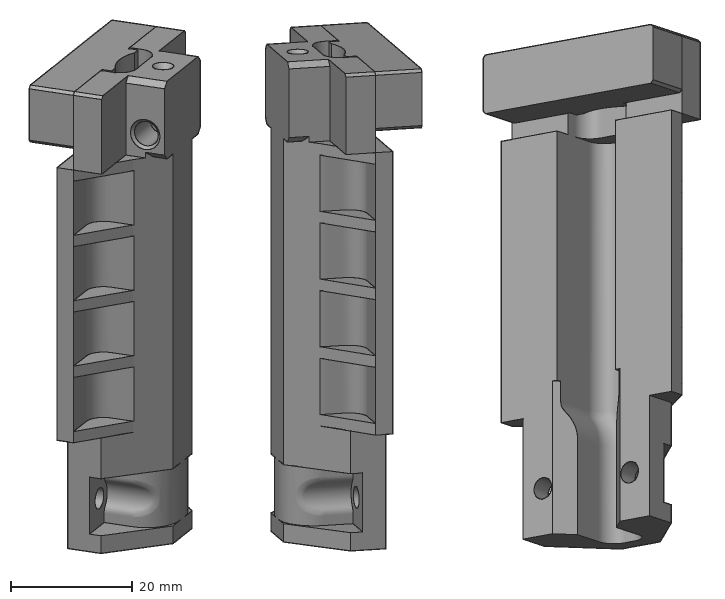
import cadquery as cq
import math


depth = 20.0
height = 82.0
half_width = 35.0 / 2
tail_top = 20.5
rail_top = 68.4

plate_front = 5.0
plate_back = 7.95
tail_half_width = 13.0
back_half_width = 4.0
slope_start = depth - (tail_half_width - back_half_width)
flank_sum = slope_start + tail_half_width

channel_floor = 17.0
corner_axis = 14.0
corner_radius = channel_floor - corner_axis
upper_floor_half = 3.0
lower_floor_half = 1.1
upper_run_bottom = 22.55
bend_radius = 10.3
bend_angle = math.degrees(math.acos(1 - (upper_floor_half - lower_floor_half) / bend_radius))
bend_bottom = upper_run_bottom - bend_radius * math.sin(math.radians(bend_angle))
flare_half_width = 7.0
flare_top = 26.0

window_count = 4
rib_height = 2.0
outer_radius = depth - corner_axis
core_half = upper_floor_half + outer_radius
rib_pitch = (rail_top - tail_top - rib_height) / window_count
window_height = rib_pitch - rib_height
window_fillet = 3.1

recess_front = 8.9
recess_bottom = 3.1
recess_height = 10.0
recess_half = 7.0
screw_y = 8.9
screw_z = 8.0
screw_hole_diameter = 3.6
screw_head_diameter = 6.5
screw_edge_fillet = 1.55

head_back = 13.0
head_chamfer = 0.5
block_half_width = 7.5
block_chamfer = 1.0
block_middle = (head_back + depth) / 2
side_hole_diameter = 4.3
side_hole_chamfer = 0.5
side_hole_z = 72.5
side_hole_end = -0.53
top_hole_diameter = 1.2
top_countersink_diameter = 3.5
top_countersink_angle = 90

cap_height = 10.0
cap_bottom = height - cap_height
tongue_clearance = 0.5
tongue_half_width = upper_floor_half + corner_radius - tongue_clearance
tongue_tip = 9.7
scoop_half_width = 4.0
scoop_depth = 1.0


def centred_box(x_range, half, z_range):
    """Box that reaches the same distance on both sides of the symmetry plane."""
    length = x_range[1] - x_range[0]
    rise = z_range[1] - z_range[0]
    corner = (x_range[0], -half, z_range[0])
    return cq.Workplane("XY").box(length, 2 * half, rise, centered=False).translate(corner)


def symmetric_prism(half_outline, z_bottom, z_top):
    """Upright prism of an outline that is mirrored across the symmetry plane."""
    mirrored = [(x, -y) for x, y in reversed(half_outline)]
    outline = cq.Workplane("XY", origin=(0, 0, z_bottom)).polyline(half_outline + mirrored).close()
    return outline.extrude(z_top - z_bottom)


def both_sides(shape):
    """The shape together with its mirror image across the symmetry plane."""
    return shape.union(shape.mirror("XZ"))


def rounded_groove(front, floor, floor_half, z_bottom, z_top):
    """Cutter for a straight upright groove whose two floor corners are rounded."""
    wall = floor_half + corner_radius
    turn = floor - corner_radius
    return (
        cq.Workplane("XY", origin=(0, 0, z_bottom))
        .moveTo(front, -wall)
        .lineTo(turn, -wall)
        .radiusArc((floor, -floor_half), -corner_radius)
        .lineTo(floor, floor_half)
        .radiusArc((turn, wall), -corner_radius)
        .lineTo(front, wall)
        .close()
        .extrude(z_top - z_bottom)
    )


def swept_wall(edge_y, edge_z, pivot_y):
    """Rounded channel side swept through the bend angle about an X-parallel axis."""
    profile = (
        cq.Workplane("XY", origin=(0, 0, edge_z))
        .moveTo(plate_front, edge_y)
        .lineTo(channel_floor, edge_y)
        .radiusArc((corner_axis, edge_y + corner_radius), -corner_radius)
        .lineTo(plate_front, edge_y + corner_radius)
        .close()
    )
    swept = profile.revolve(bend_angle, (0, pivot_y, 0), (1, pivot_y, 0))
    return swept.rotate((0, pivot_y, edge_z), (1, pivot_y, edge_z), -bend_angle)


def channel_bend():
    """Cutter for the curved stretch that joins the slim run to the wide run."""
    pivot_y = lower_floor_half + bend_radius
    middle_angle = math.radians(bend_angle / 2)
    middle = (
        pivot_y - bend_radius * math.cos(middle_angle),
        bend_bottom + bend_radius * math.sin(middle_angle),
    )
    floor = (
        cq.Workplane("YZ", origin=(plate_front, 0, 0))
        .moveTo(0, bend_bottom)
        .lineTo(lower_floor_half, bend_bottom)
        .threePointArc(middle, (upper_floor_half, upper_run_bottom))
        .lineTo(0, upper_run_bottom)
        .close()
        .extrude(channel_floor - plate_front)
    )
    side = swept_wall(lower_floor_half, bend_bottom, pivot_y)
    shoulder = swept_wall(upper_floor_half, upper_run_bottom, upper_floor_half)
    return both_sides(floor.union(side).union(shoulder))


def channel():
    """Cutter for the whole channel in the front of the rail and tail."""
    upper = rounded_groove(plate_front, channel_floor, upper_floor_half, upper_run_bottom, rail_top)
    lower = rounded_groove(plate_front, channel_floor, lower_floor_half, 0, bend_bottom)
    flare_depth = flare_half_width - lower_floor_half - corner_radius
    flare = symmetric_prism(
        [(plate_front, flare_half_width), (plate_front + flare_depth, flare_half_width - flare_depth)],
        0,
        flare_top,
    )
    return upper.union(lower).union(channel_bend()).union(flare)


def window(z_bottom):
    """Cutter for the pair of windows above one rib."""
    reach = flank_sum - corner_axis - upper_floor_half
    half_chord = math.sqrt(2 * outer_radius**2 - reach**2)
    exit_x = corner_axis + (reach - half_chord) / 2
    exit_point = (exit_x, flank_sum - exit_x)
    cutter = (
        cq.Workplane("XY", origin=(0, 0, z_bottom))
        .moveTo(plate_back, half_width)
        .lineTo(plate_back, core_half + window_fillet)
        .radiusArc((plate_back + window_fillet, core_half), -window_fillet)
        .lineTo(corner_axis, core_half)
        .radiusArc(exit_point, outer_radius)
        .lineTo(exit_point[0], half_width)
        .close()
        .extrude(window_height)
    )
    return both_sides(cutter)


def screw_recess():
    """Cutter for the pair of side recesses that follow the lower channel."""
    cutter = (
        cq.Workplane("XY", origin=(0, 0, recess_bottom))
        .moveTo(recess_front, tail_half_width)
        .lineTo(recess_front, recess_half)
        .lineTo(corner_axis, recess_half)
        .radiusArc((depth, recess_half - outer_radius), outer_radius)
        .lineTo(depth, tail_half_width)
        .close()
        .extrude(recess_height)
    )
    return both_sides(cutter)


def screw_bore(diameter, front):
    """Cutter for the pair of screw bores that run to the back of the tail."""
    plane = cq.Workplane("YZ", origin=(front, 0, screw_z))
    return plane.pushPoints([(-screw_y, 0), (screw_y, 0)]).circle(diameter / 2).extrude(depth - front)


def tail_outline():
    """Half outline of the tail section."""
    return [
        (plate_front, tail_half_width),
        (slope_start, tail_half_width),
        (depth, back_half_width),
    ]


def round_screw_edges(tail):
    """Round the edges where the screw head bores break into the recess floors."""
    margin = 0.1
    reach = screw_head_diameter / 2 + margin
    edges = cq.selectors.BoxSelector(
        (recess_front + margin, -screw_y, screw_z - reach),
        (depth - margin, screw_y, screw_z + reach),
    )
    return tail.edges(edges).fillet(screw_edge_fillet)


def rail():
    """Ribbed rail and tail with the channel, windows and screw recesses."""
    flank_x = flank_sum - core_half
    ribbed = symmetric_prism(
        [
            (plate_front, half_width),
            (plate_back, half_width),
            (flank_x, core_half),
            (depth, back_half_width),
        ],
        tail_top,
        rail_top,
    )
    for index in range(window_count):
        ribbed = ribbed.cut(window(tail_top + rib_height + index * rib_pitch))

    tail = symmetric_prism(tail_outline(), 0, tail_top)
    tail = tail.cut(screw_recess()).cut(screw_bore(screw_head_diameter, recess_front))
    tail = round_screw_edges(tail)
    tail = tail.cut(screw_bore(screw_hole_diameter, plate_front))
    return ribbed.union(tail).cut(channel())


def block():
    """Block behind the head, with its side hole and countersunk top hole."""
    footprint = centred_box((head_back, depth), block_half_width, (rail_top, height))
    body = footprint.edges("|X").chamfer(block_chamfer)
    root = symmetric_prism(tail_outline(), rail_top, rail_top + block_chamfer)
    body = body.union(root.intersect(footprint))

    radius = side_hole_diameter / 2
    side_hole = (
        cq.Workplane("XZ", origin=(block_middle, side_hole_end, side_hole_z))
        .circle(radius)
        .extrude(block_half_width + side_hole_end)
    )
    mouth = cq.Solid.makeCone(
        radius + side_hole_chamfer,
        radius,
        side_hole_chamfer,
        cq.Vector(block_middle, -block_half_width, side_hole_z),
        cq.Vector(0, 1, 0),
    )
    body = body.cut(side_hole).cut(cq.Workplane(mouth))

    top_hole_depth = height - side_hole_z + radius
    top = body.faces(">Z").workplane(origin=(block_middle, 0, height))
    return top.cskHole(
        top_hole_diameter, top_countersink_diameter, top_countersink_angle, top_hole_depth
    )


def head():
    """Cross bar and block above the rail, with the channel mouth cut through."""
    bar = centred_box((plate_back, head_back), half_width, (rail_top, height))
    bar = bar.edges("|X and >Z").chamfer(head_chamfer)
    bar = bar.cut(rounded_groove(plate_back, head_back, upper_floor_half, rail_top, height))
    return bar.union(block())


def make_holder():
    """Rail, tail and head in one piece."""
    return rail().union(head())


def make_cap():
    """Front cap whose scooped tongue sits in the channel mouth."""
    bar = centred_box((0, plate_back), half_width, (cap_bottom, height))
    bar = bar.edges("|X").chamfer(head_chamfer)
    tongue = centred_box((plate_back, tongue_tip), tongue_half_width, (cap_bottom, height))
    scoop = (
        cq.Workplane("XY", origin=(0, 0, cap_bottom))
        .moveTo(tongue_tip, -scoop_half_width)
        .threePointArc((tongue_tip - scoop_depth, 0), (tongue_tip, scoop_half_width))
        .close()
        .extrude(cap_height)
    )
    return bar.union(tongue.cut(scoop))


holder = make_holder()
cap = make_cap()

result = cq.Compound.makeCompound([holder.solids().val(), cap.solids().val()])